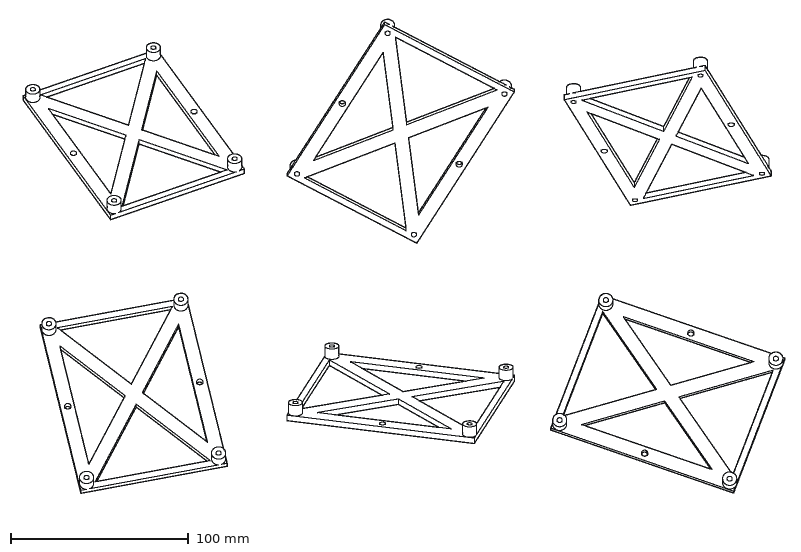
import cadquery as cq
import math

length = 109.7
width = 84.3
plate_thickness = 3.5
total_height = 10.0

standoff_diameter = 8.0
standoff_hole_diameter = 2.9
standoff_spacing_x = 101.9
standoff_spacing_y = 76.0

rail_hole_diameter = 3.5

long_rail_width = 8.0
short_rail_width = 3.8
brace_width = 8.0

window_x = length / 2 - short_rail_width
window_y = width / 2 - long_rail_width
brace_slope = standoff_spacing_y / standoff_spacing_x
brace_angle = math.atan(brace_slope)
crossing_y = brace_width / 2 / math.cos(brace_angle)
crossing_x = brace_width / 2 / math.sin(brace_angle)


def triangle_window(points):
    """Cutter through the plate with a triangular outline."""
    return cq.Workplane("XY").polyline(points).close().extrude(plate_thickness)


def long_side_window(side):
    """Window between a long rail (side = +1 or -1 along Y) and the braces."""
    half_base = (window_y - crossing_y) / brace_slope
    return triangle_window([
        (0, side * crossing_y),
        (half_base, side * window_y),
        (-half_base, side * window_y),
    ])


def short_side_window(side):
    """Window between a short rail (side = +1 or -1 along X) and the braces."""
    half_base = (window_x - crossing_x) * brace_slope
    return triangle_window([
        (side * crossing_x, 0),
        (side * window_x, half_base),
        (side * window_x, -half_base),
    ])


plate = cq.Workplane("XY").box(length, width, plate_thickness, centered=(True, True, False))
for side in (-1, 1):
    plate = plate.cut(long_side_window(side)).cut(short_side_window(side))

standoffs = (
    cq.Workplane("XY")
    .rarray(standoff_spacing_x, standoff_spacing_y, 2, 2)
    .circle(standoff_diameter / 2)
    .extrude(total_height)
)
outer_block = cq.Workplane("XY").box(length, width, total_height, centered=(True, True, False))
standoffs = standoffs.intersect(outer_block)

standoff_holes = (
    cq.Workplane("XY")
    .rarray(standoff_spacing_x, standoff_spacing_y, 2, 2)
    .circle(standoff_hole_diameter / 2)
    .extrude(total_height)
)
rail_holes = (
    cq.Workplane("XY")
    .rarray(1.1, standoff_spacing_y, 1, 2)
    .circle(rail_hole_diameter / 2)
    .extrude(plate_thickness)
)

result = plate.union(standoffs).cut(standoff_holes).cut(rail_holes)